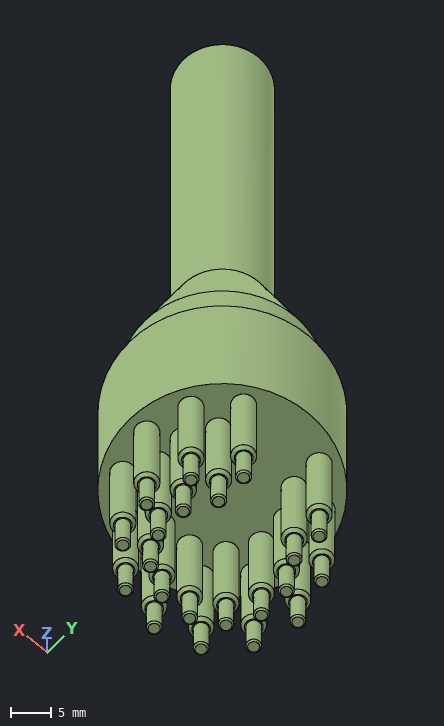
import cadquery as cq
import math

total_height = 116.3
cone_top_z = 61.2
cone_bottom_z = 44.8
body_top_z = 36.9
body_bottom_z = 17.8
pin_shoulder_z = 5.3

cable_diameter = 13.0
collar_diameter = 26.0
body_diameter = 31.0
pin_diameter = 3.3
pin_tip_diameter = 2.0

shoulder_chamfer = 0.5
tip_chamfer = 0.2

pins_per_full_ring = 12
pin_pitch = 360.0 / pins_per_full_ring
outer_ring_radius = 12.7
inner_ring_radius = 9.0
key_direction = 90.0
outer_pins_omitted = 1
inner_pins_omitted = 2


def make_housing():
    """Cable, conical strain relief, collar and body, turned about Z."""
    profile = [
        (0, body_bottom_z),
        (body_diameter / 2, body_bottom_z),
        (body_diameter / 2, body_top_z),
        (collar_diameter / 2, body_top_z),
        (collar_diameter / 2, cone_bottom_z),
        (cable_diameter / 2, cone_top_z),
        (cable_diameter / 2, total_height),
        (0, total_height),
    ]
    return cq.Workplane("XZ").polyline(profile).close().revolve(360, (0, 0), (0, 1))


def make_pin():
    """Stepped contact pin on the Z axis, beveled at the shoulder and the tip."""
    pin_radius = pin_diameter / 2
    tip_radius = pin_tip_diameter / 2
    profile = [
        (0, 0),
        (tip_radius - tip_chamfer, 0),
        (tip_radius, tip_chamfer),
        (tip_radius, pin_shoulder_z - shoulder_chamfer),
        (pin_radius - shoulder_chamfer, pin_shoulder_z - shoulder_chamfer),
        (pin_radius, pin_shoulder_z),
        (pin_radius, body_bottom_z),
        (0, body_bottom_z),
    ]
    return cq.Workplane("XZ").polyline(profile).close().revolve(360, (0, 0), (0, 1))


def ring_positions(radius, omitted):
    """Evenly pitched points on a ring, with a gap of omitted pins centered on the key direction."""
    first_angle = key_direction + (omitted + 1) / 2 * pin_pitch
    angles = [
        math.radians(first_angle + index * pin_pitch)
        for index in range(pins_per_full_ring - omitted)
    ]
    return [(radius * math.cos(angle), radius * math.sin(angle)) for angle in angles]


pin_positions = ring_positions(outer_ring_radius, outer_pins_omitted)
pin_positions += ring_positions(inner_ring_radius, inner_pins_omitted)

result = make_housing()
pin = make_pin()
for x, y in pin_positions:
    result = result.union(pin.translate((x, y, 0)))